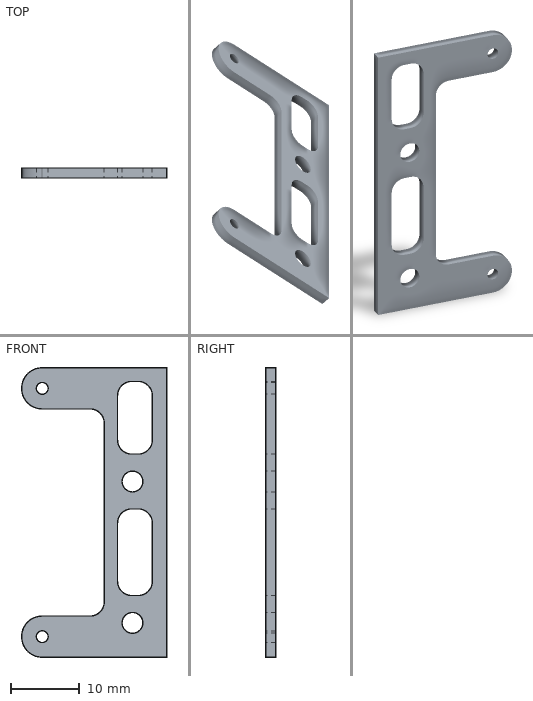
import cadquery as cq

width = 21.1
height = 42.0
thickness = 1.5

arm_height = 6.0
arm_end_radius = arm_height / 2
spine_width = 9.1
inner_corner_radius = 2.0
arm_hole_diameter = 1.7

spine_hole_diameter = 3.0
spine_hole_inset = 5.0
lower_hole_z = 5.0
spine_hole_pitch = 20.5

window_width = 5.0
window_inset = 2.15
window_corner_radius = 2.0
lower_window_bottom = 9.0
lower_window_height = 12.5
upper_window_bottom = 29.5
upper_window_height = 10.5


def box(x, z, size_x, size_z):
    """Full-thickness block with its lower -X corner at (x, z)."""
    return cq.Workplane("XY").box(size_x, thickness, size_z, centered=False).translate((x, 0, z))


def cylinder(x, z, diameter):
    """Full-thickness cylinder along Y, centred at (x, z)."""
    return cq.Workplane("XZ").center(x, z).circle(diameter / 2).extrude(-thickness)


def window(bottom, window_height):
    """Rounded rectangular cutter in the spine."""
    left = width - window_inset - window_width
    return box(left, bottom, window_width, window_height).edges("|Y").fillet(window_corner_radius)


plate = box(0, 0, width, height)
recess_depth = width - spine_width
recess = box(
    -inner_corner_radius,
    arm_height,
    recess_depth + inner_corner_radius,
    height - 2 * arm_height,
).edges("|Y").fillet(inner_corner_radius)
result = plate.cut(recess)

arm_centers_z = (arm_end_radius, height - arm_end_radius)
for center_z in arm_centers_z:
    arm_end = box(0, center_z - arm_end_radius, arm_end_radius, arm_height)
    result = result.cut(arm_end.cut(cylinder(arm_end_radius, center_z, arm_height)))
    result = result.cut(cylinder(arm_end_radius, center_z, arm_hole_diameter))

for center_z in (lower_hole_z, lower_hole_z + spine_hole_pitch):
    result = result.cut(cylinder(width - spine_hole_inset, center_z, spine_hole_diameter))

result = result.cut(window(lower_window_bottom, lower_window_height))
result = result.cut(window(upper_window_bottom, upper_window_height))